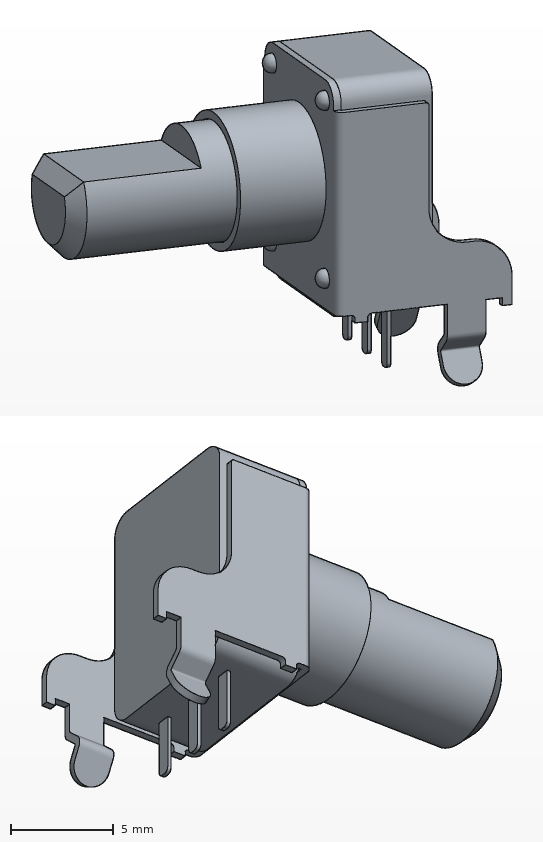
import cadquery as cq
import math


sheet = 0.4
bracket_width = 9.8
plate_bottom = -6.1
flange_top = 4.28
flange_back = 4.82
flange_top_corner = 0.11
flange_inner_x = bracket_width / 2 - sheet

foot_back = 9.2
foot_top = -3.05
foot_radius = 2.0
foot_nib_length = 0.52
standoff_depth = 0.4

tab_front = 0.95
tab_back = 1.61
tab_root_radius = 0.2

leg_center_y = 6.8
leg_width = 2.04
leg_bend_z = -7.82
leg_knee_z = -8.65
leg_inner_radius = 0.11
leg_tip_angle = math.radians(29)
leg_bottom = -10.45

housing_width = 8.87
housing_top = 5.55
housing_bottom = plate_bottom - standoff_depth
housing_back = 5.2
corner_radius = 1.05

bushing_radius = 3.47
shaft_clearance = 0.05
bushing_length = 4.5
shaft_radius = 3.0
shaft_tip = -13.2
shaft_flat_start = -6.2
shaft_flat_z = 1.55
shaft_chamfer = 0.8

rivet_radius = 0.5
rivet_height = 0.5
rivet_rounding = 0.45
rivet_x = 3.4
rivet_z = 4.52

pin_width = 0.75
pin_thickness = 0.2
pin_pitch = 2.5
pin_front = 3.45
pin_bottom = -9.68
pin_corner = 0.3


def block(x_range, y_range, z_range):
    """Box given by its lower and upper limit along each axis."""
    limits = (x_range, y_range, z_range)
    sizes = [upper - lower for lower, upper in limits]
    return cq.Workplane("XY").box(*sizes, centered=False).translate([lower for lower, upper in limits])


def rounded_block(y_front, y_back, bottom):
    """Block as wide and as high as the housing top, with its two upper edges rounded."""
    half = housing_width / 2
    body = block((-half, half), (y_front, y_back), (bottom, housing_top))
    return body.edges("|Y and >Z").fillet(corner_radius)


def rod(radius, y_front, y_back):
    """Cylinder along the shaft axis."""
    return cq.Workplane("XZ", origin=(0, y_back, 0)).circle(radius).extrude(y_back - y_front)


def front_plate():
    """Plate with a narrow rounded top and a wide lower part that bends into the flanges."""
    half = bracket_width / 2
    bent = block((-half, half), (0, 2 * sheet), (plate_bottom, flange_top))
    bent = bent.edges("|Z and <Y").fillet(sheet)
    wide = bent.intersect(block((-half, half), (0, sheet), (plate_bottom, flange_top)))
    return wide.union(rounded_block(0, sheet, plate_bottom))


def flange():
    """Side flange at +X, with the rear foot and the standoff tab."""
    standoff_z = plate_bottom - standoff_depth
    root_z = plate_bottom - tab_root_radius
    arc_dip = foot_radius * math.sqrt(0.5)
    root_dip = tab_root_radius * math.sqrt(0.5)
    hollow_y = flange_back + foot_radius
    hollow_z = foot_top + foot_radius
    crown_y = foot_back - foot_radius
    crown_z = foot_top - foot_radius
    outline = (
        cq.Workplane("YZ", origin=(flange_inner_x, 0, 0))
        .moveTo(sheet, flange_top)
        .lineTo(flange_back, flange_top)
        .lineTo(flange_back, hollow_z)
        .threePointArc((hollow_y - arc_dip, hollow_z - arc_dip), (hollow_y, foot_top))
        .lineTo(crown_y, foot_top)
        .threePointArc((crown_y + arc_dip, crown_z + arc_dip), (foot_back, crown_z))
        .lineTo(foot_back, standoff_z)
        .lineTo(foot_back - foot_nib_length, standoff_z)
        .lineTo(foot_back - foot_nib_length, plate_bottom)
        .lineTo(tab_back + tab_root_radius, plate_bottom)
        .threePointArc(
            (tab_back + tab_root_radius - root_dip, root_z + root_dip),
            (tab_back, root_z),
        )
        .lineTo(tab_back, standoff_z)
        .lineTo(tab_front, standoff_z)
        .lineTo(tab_front, root_z)
        .threePointArc(
            (tab_front - tab_root_radius + root_dip, root_z + root_dip),
            (tab_front - tab_root_radius, plate_bottom),
        )
        .lineTo(sheet, plate_bottom)
        .close()
        .extrude(sheet)
    )
    top_corner = cq.selectors.NearestToPointSelector((flange_inner_x + sheet / 2, flange_back, flange_top))
    return outline.edges(top_corner).fillet(flange_top_corner)


def leg():
    """Leg below the +X flange: two rounded bends and a round tip."""
    half = sheet / 2
    tip_x, tip_z = math.sin(leg_tip_angle), -math.cos(leg_tip_angle)
    across_x, across_z = math.cos(leg_tip_angle), math.sin(leg_tip_angle)

    flange_x = flange_inner_x + half
    end_x = bracket_width / 2 - half * across_x
    end_z = leg_bottom + half * across_z
    tip_length = (leg_knee_z - end_z) / -tip_z
    knee_x = end_x - tip_length * tip_x
    slope_angle = math.atan2(flange_x - knee_x, leg_bend_z - leg_knee_z)

    bend_miter = half * math.tan(slope_angle / 2)
    knee_miter = half * math.tan((slope_angle + leg_tip_angle) / 2)
    bend_inside = (flange_inner_x, leg_bend_z + bend_miter)
    bend_outside = (flange_inner_x + sheet, leg_bend_z - bend_miter)
    knee_shift_x = half * across_x + knee_miter * tip_x
    knee_shift_z = half * across_z + knee_miter * tip_z
    knee_inside = (knee_x + knee_shift_x, leg_knee_z + knee_shift_z)
    knee_outside = (knee_x - knee_shift_x, leg_knee_z - knee_shift_z)

    disc_radius = leg_width / 2
    disc_x = end_x - disc_radius * tip_x
    disc_z = end_z - disc_radius * tip_z
    disc_outer = (disc_x + half * across_x, disc_z + half * across_z)
    disc_inner = (disc_x - half * across_x, disc_z - half * across_z)
    strip = (
        cq.Workplane("XZ", origin=(0, leg_center_y + leg_width / 2, 0))
        .moveTo(flange_inner_x, plate_bottom)
        .lineTo(*bend_inside)
        .lineTo(*knee_outside)
        .lineTo(*disc_inner)
        .lineTo(*disc_outer)
        .lineTo(*knee_inside)
        .lineTo(*bend_outside)
        .lineTo(flange_inner_x + sheet, plate_bottom)
        .close()
        .extrude(leg_width)
    )
    roundings = (
        (bend_inside, leg_inner_radius),
        (knee_inside, leg_inner_radius),
        (bend_outside, leg_inner_radius + sheet),
        (knee_outside, leg_inner_radius + sheet),
    )
    for (corner_x, corner_z), radius in roundings:
        corner = cq.selectors.NearestToPointSelector((corner_x, leg_center_y, corner_z))
        strip = strip.edges("|Y").edges(corner).fillet(radius)
    tip_plane = cq.Plane(
        origin=(disc_outer[0], leg_center_y, disc_outer[1]),
        xDir=(0, 1, 0),
        normal=(-across_x, 0, -across_z),
    )
    half_disc = (
        cq.Workplane(tip_plane)
        .moveTo(-disc_radius, 0)
        .threePointArc((0, disc_radius), (disc_radius, 0))
        .close()
        .extrude(sheet)
    )
    return strip.union(half_disc)


def rivet_heads():
    """Four rounded heads on the plate."""
    places = [(x, z) for x in (-rivet_x, rivet_x) for z in (-rivet_z, rivet_z)]
    heads = cq.Workplane("XZ").pushPoints(places).circle(rivet_radius).extrude(rivet_height)
    return heads.faces("<Y").edges().fillet(rivet_rounding)


def shaft():
    """Shaft with a flat on top and a chamfered tip, standing on the housing's front face."""
    round_part = rod(shaft_radius, shaft_flat_start, sheet)
    flat_range = (shaft_tip, shaft_flat_start)
    removed = block((-shaft_radius, shaft_radius), flat_range, (shaft_flat_z, shaft_radius))
    flat_part = rod(shaft_radius, *flat_range).cut(removed)
    return round_part.union(flat_part.faces("<Y").chamfer(shaft_chamfer))


def make_bracket():
    """Plate with flanges, legs, rivet heads and bushing, bored through for the shaft."""
    side = flange().union(leg())
    bracket = front_plate().union(side).union(side.mirror("YZ"))
    bracket = bracket.union(rod(bushing_radius, -bushing_length, 0)).union(rivet_heads())
    return bracket.cut(rod(shaft_radius + shaft_clearance, -bushing_length, sheet))


def pin(center_x):
    """Flat terminal pin below the housing, with rounded lower corners."""
    body = block(
        (center_x - pin_width / 2, center_x + pin_width / 2),
        (pin_front, pin_front + pin_thickness),
        (pin_bottom, housing_bottom),
    )
    return body.edges("|Y and <Z").fillet(pin_corner)


def make_housing():
    """Block with four rounded edges, its three terminal pins and the shaft."""
    housing = rounded_block(sheet, housing_back, housing_bottom).edges("|Y and <Z").fillet(corner_radius)
    for position in (-1, 0, 1):
        housing = housing.union(pin(position * pin_pitch))
    return housing.union(shaft())


bracket = make_bracket()
housing = make_housing()
result = cq.Compound.makeCompound([bracket.solids().val(), housing.solids().val()])